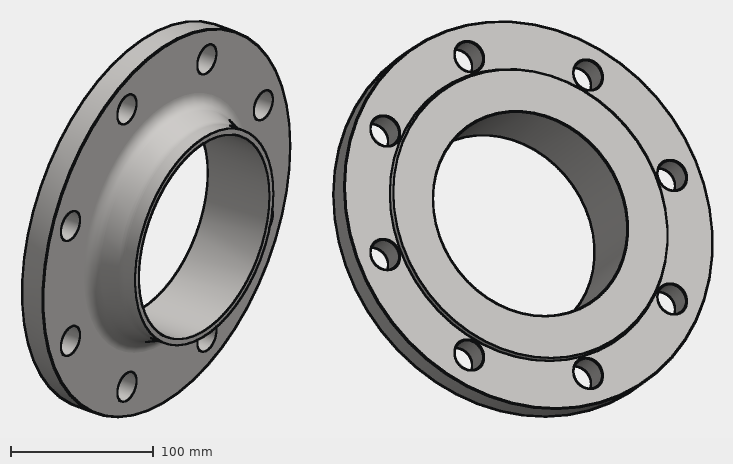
import cadquery as cq
import math

flange_diameter = 285.0
bore_diameter = 150.0
pipe_diameter = 159.0
overall_length = 55.0
flange_back = 22.0
bore_chamfer = 0.5
rim_chamfer = 0.5

raised_face_diameter = 212.0
raised_face_height = 3.0
raised_face_angle = 24.0

neck_angle = 21.5
root_fillet = 11.0
neck_fillet = 10.0
weld_end_length = 10.0

bolt_circle_diameter = 240.0
bolt_hole_diameter = 22.0
bolt_count = 8
hole_chamfer = 0.5

flange_radius = flange_diameter / 2
bore_radius = bore_diameter / 2
pipe_radius = pipe_diameter / 2
raised_face_radius = raised_face_diameter / 2


def arc_point(center, radius, degrees):
    """Point on a circle, as a pair of in-plane coordinates."""
    angle = math.radians(degrees)
    return (center[0] + radius * math.cos(angle), center[1] + radius * math.sin(angle))


def make_body():
    """Revolve the half-section (x along the axis, y as radius) around X."""
    raised_face_flare = raised_face_height * math.tan(math.radians(raised_face_angle))

    weld_end_start = overall_length - weld_end_length
    end_fillet_center = (weld_end_start, pipe_radius + neck_fillet)
    cone_end = arc_point(end_fillet_center, neck_fillet, 270 - neck_angle)

    root_center_x = flange_back + root_fillet
    cone_start_x = root_center_x - root_fillet * math.sin(math.radians(neck_angle))
    cone_rise = (cone_end[0] - cone_start_x) * math.tan(math.radians(neck_angle))
    cone_start = (cone_start_x, cone_end[1] + cone_rise)
    root_center_r = cone_start[1] + root_fillet * math.cos(math.radians(neck_angle))
    root_center = (root_center_x, root_center_r)

    section = (
        cq.Workplane("XY")
        .moveTo(bore_chamfer, bore_radius)
        .lineTo(0, bore_radius + bore_chamfer)
        .lineTo(0, raised_face_radius)
        .lineTo(raised_face_height, raised_face_radius + raised_face_flare)
        .lineTo(raised_face_height, flange_radius - rim_chamfer)
        .lineTo(raised_face_height + rim_chamfer, flange_radius)
        .lineTo(flange_back - rim_chamfer, flange_radius)
        .lineTo(flange_back, flange_radius - rim_chamfer)
        .lineTo(flange_back, root_center_r)
        .threePointArc(
            arc_point(root_center, root_fillet, 180 + (90 - neck_angle) / 2),
            cone_start,
        )
        .lineTo(*cone_end)
        .threePointArc(
            arc_point(end_fillet_center, neck_fillet, 270 - neck_angle / 2),
            (weld_end_start, pipe_radius),
        )
        .lineTo(overall_length, pipe_radius)
        .lineTo(overall_length, bore_radius)
        .close()
    )
    return section.revolve(360, (0, 0, 0), (1, 0, 0))


def make_bolt_holes():
    """Through holes on the bolt circle, straddling the Y and Z axes, chamfered in front."""
    mouth_radius = bolt_hole_diameter / 2 + hole_chamfer
    hole = (
        cq.Workplane("XY")
        .lineTo(0, mouth_radius)
        .lineTo(raised_face_height, mouth_radius)
        .lineTo(raised_face_height + hole_chamfer, bolt_hole_diameter / 2)
        .lineTo(overall_length, bolt_hole_diameter / 2)
        .lineTo(overall_length, 0)
        .close()
        .revolve(360, (0, 0, 0), (1, 0, 0))
    )
    holes = cq.Workplane("XY")
    for index in range(bolt_count):
        angle = (index + 0.5) * 360 / bolt_count
        y, z = arc_point((0, 0), bolt_circle_diameter / 2, angle)
        holes = holes.add(hole.translate((0, y, z)))
    return holes.combine()


result = make_body().cut(make_bolt_holes())